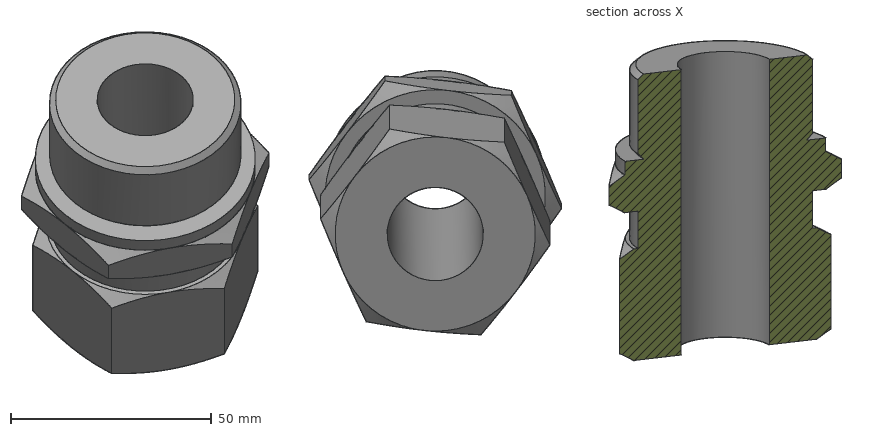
import cadquery as cq
import math

nut_top = 29.0
hex_bottom = 38.55
hex_top = 48.4
collar_top = 51.95
total_height = 74.0

nut_flats = 49.95
hex_flats = 55.0
bore_diameter = 24.0
body_diameter = 47.8
body_end_diameter = 44.7
end_chamfer_height = 1.3
collar_diameter = 54.9

corner_cone_angle = math.radians(30)
body_chamfer = (body_diameter - body_end_diameter) / 2


def cylinder(diameter, bottom, top):
    return cq.Workplane("XY").workplane(offset=bottom).circle(diameter / 2).extrude(top - bottom)


def chamfered_hexagon(flats, bottom, top, face_diameter):
    """Hexagon with corners along Y, both ends turned to 30 degree cones."""
    corner_radius = flats / math.sqrt(3)
    face_radius = face_diameter / 2
    drop = (corner_radius - face_radius) * math.tan(corner_cone_angle)
    prism = (
        cq.Workplane("XY")
        .workplane(offset=bottom)
        .polygon(6, 2 * corner_radius)
        .extrude(top - bottom)
        .rotate((0, 0, 0), (0, 0, 1), 90)
    )
    envelope = (
        cq.Workplane("XZ")
        .moveTo(0, bottom)
        .lineTo(face_radius, bottom)
        .lineTo(corner_radius, bottom + drop)
        .lineTo(corner_radius, top - drop)
        .lineTo(face_radius, top)
        .lineTo(0, top)
        .close()
        .revolve(360, (0, 0, 0), (0, 1, 0))
    )
    return prism.intersect(envelope)


nut = chamfered_hexagon(nut_flats, 0, nut_top, nut_flats)
neck = cylinder(body_diameter, nut_top, hex_bottom)
hexagon = chamfered_hexagon(hex_flats, hex_bottom, hex_top, hex_flats)
collar = cylinder(collar_diameter, hex_top, collar_top)

spigot = cylinder(body_diameter, collar_top, total_height)
spigot = spigot.faces("<Z").chamfer(body_chamfer)
spigot = spigot.faces(">Z").chamfer(end_chamfer_height, body_chamfer)

bore = cylinder(bore_diameter, 0, total_height)
result = nut.union(neck).union(hexagon).union(collar).union(spigot).cut(bore)